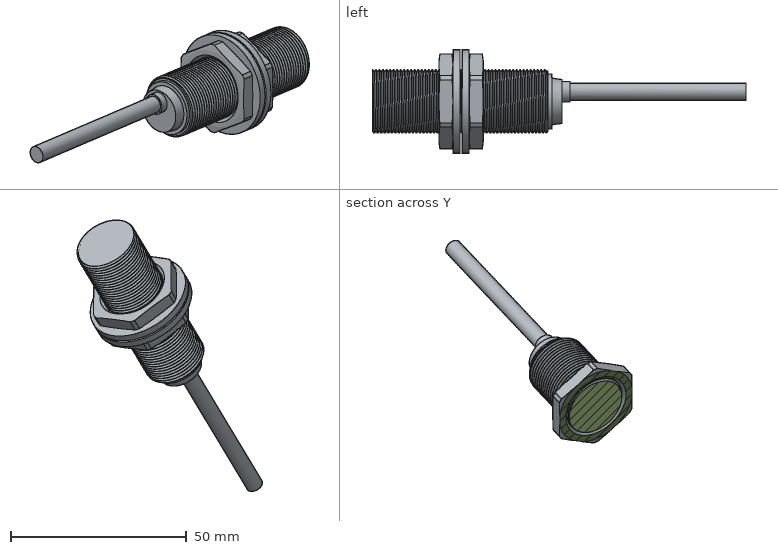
import cadquery as cq
import math

TOTAL_LENGTH = 106.3

THREAD_RADIUS = 9.0
THREAD_DEPTH = 0.5
THREAD_PITCH = 1.0
THREAD_CREST = THREAD_PITCH / 8
THREAD_LENGTH = 50.0
THREAD_END_CHAMFER = 0.5

NECK_RADIUS = 7.9
NECK_LENGTH = 1.1
CAP_BASE_RADIUS = 6.7
CAP_END_RADIUS = 6.3
CAP_LENGTH = 3.0
SLEEVE_RADIUS = 3.0
SLEEVE_LENGTH = 2.2
CABLE_RADIUS = 2.4
CABLE_OFFSET = 2.8

NUT_WIDTH = 24.0
NUT_THICKNESS = 4.0
NUT_CORNER_RADIUS = 13.5
NUT_FACE_RADIUS = 11.5
NUT_CHAMFER_ANGLE = 8.0
NUT_COUNTERSINK_RADIUS = 10.0

WASHER_RADIUS = 14.8
WASHER_THICKNESS = 2.0
WASHER_GAP = 0.5

FRONT_NUT_Y = -18.9
FRONT_WASHER_Y = FRONT_NUT_Y - NUT_THICKNESS
REAR_WASHER_Y = FRONT_WASHER_Y - WASHER_THICKNESS - WASHER_GAP
REAR_NUT_Y = REAR_WASHER_Y - WASHER_THICKNESS


def plane_at(y, z=0.0):
    """Sketch plane square to the axis, with extrusions running toward -Y."""
    return cq.Workplane("XZ", origin=(0, y, z))


def helix_edge(radius, start):
    """One turn of the thread helix about +Z, from the seam at the height `start`."""
    return cq.Wire.makeHelix(THREAD_PITCH, THREAD_PITCH, radius, cq.Vector(0, 0, start)).Edges()[0]


def end_face(start):
    """Spiral ramp from the axis out to the crest helix that begins at the height `start`."""
    axis = cq.Edge.makeLine(cq.Vector(0, 0, start), cq.Vector(0, 0, start + THREAD_PITCH))
    return cq.Face.makeRuledSurface(axis, helix_edge(THREAD_RADIUS, start))


def step_face(start, profile):
    """Flat step, one thread profile high, that joins the two ends of a spiral ramp."""
    end = start + THREAD_PITCH
    outline = [(0, start)]
    outline += [(radius, start + height) for radius, height in profile]
    outline += [(THREAD_RADIUS, end), (0, end)]
    points = [cq.Vector(x, 0, z) for x, z in outline]
    return cq.Face.makeFromWires(cq.Wire.makePolygon(points, close=True))


def make_thread():
    """Threaded rod, wound one turn at a time past both ends and then trimmed to length."""
    root_radius = THREAD_RADIUS - THREAD_DEPTH
    flank = (THREAD_PITCH - THREAD_CREST) / 2
    profile = [
        (THREAD_RADIUS, 0),
        (THREAD_RADIUS, THREAD_CREST),
        (root_radius, THREAD_CREST + flank),
    ]
    turns = math.ceil(THREAD_LENGTH / THREAD_PITCH) + 2
    bottom = -THREAD_PITCH
    top = bottom + turns * THREAD_PITCH

    edges = []
    for turn in range(turns):
        turn_start = bottom + turn * THREAD_PITCH
        edges += [helix_edge(radius, turn_start + height) for radius, height in profile]
    edges.append(helix_edge(THREAD_RADIUS, top))

    faces = [cq.Face.makeRuledSurface(low, high) for low, high in zip(edges, edges[1:])]
    for end in (bottom, top):
        faces += [end_face(end), step_face(end, profile)]
    rod = cq.Workplane(cq.Solid.makeSolid(cq.Shell.makeShell(faces)))

    margin = THREAD_DEPTH
    envelope = (
        cq.Workplane("XY")
        .circle(THREAD_RADIUS + margin)
        .extrude(THREAD_LENGTH)
        .faces(">Z")
        .chamfer(THREAD_END_CHAMFER + margin)
    )
    rod = rod.intersect(envelope)
    return rod.rotate((0, 0, 0), (0, 0, 1), 90).rotate((0, 0, 0), (1, 0, 0), 90)


def make_sensor():
    """Threaded barrel with its neck, tapered cap, cable sleeve and off-centre cable."""
    neck_end = THREAD_LENGTH + NECK_LENGTH
    cap_end = neck_end + CAP_LENGTH
    neck = plane_at(-THREAD_LENGTH).circle(NECK_RADIUS).extrude(NECK_LENGTH)
    taper = math.degrees(math.atan((CAP_BASE_RADIUS - CAP_END_RADIUS) / CAP_LENGTH))
    cap = plane_at(-neck_end).circle(CAP_BASE_RADIUS).extrude(CAP_LENGTH, taper=taper)
    sleeve = plane_at(-cap_end, CABLE_OFFSET).circle(SLEEVE_RADIUS).extrude(SLEEVE_LENGTH)
    cable = plane_at(-cap_end, CABLE_OFFSET).circle(CABLE_RADIUS).extrude(TOTAL_LENGTH - cap_end)
    return make_thread().union(neck).union(cap).union(sleeve).union(cable)


def make_nut(front_y):
    """Hex nut with corners to +Z and -Z, chamfered and countersunk on both faces."""
    corner_diameter = NUT_WIDTH / math.cos(math.radians(30))
    hexagon = (
        plane_at(front_y)
        .transformed(rotate=(0, 0, 30))
        .polygon(6, corner_diameter)
        .extrude(NUT_THICKNESS)
    )
    chamfer = (NUT_CORNER_RADIUS - NUT_FACE_RADIUS) * math.tan(math.radians(NUT_CHAMFER_ANGLE))
    countersink = NUT_COUNTERSINK_RADIUS - THREAD_RADIUS
    rear_y = front_y - NUT_THICKNESS
    turned_ring = (
        cq.Workplane("XY")
        .polyline(
            [
                (THREAD_RADIUS, front_y - countersink),
                (NUT_COUNTERSINK_RADIUS, front_y),
                (NUT_FACE_RADIUS, front_y),
                (NUT_CORNER_RADIUS, front_y - chamfer),
                (NUT_CORNER_RADIUS, rear_y + chamfer),
                (NUT_FACE_RADIUS, rear_y),
                (NUT_COUNTERSINK_RADIUS, rear_y),
                (THREAD_RADIUS, rear_y + countersink),
            ]
        )
        .close()
        .revolve(360, (0, 0, 0), (0, 1, 0))
    )
    return hexagon.intersect(turned_ring)


def make_washer(front_y):
    """Flat washer bored to the thread crests."""
    return plane_at(front_y).circle(WASHER_RADIUS).circle(THREAD_RADIUS).extrude(WASHER_THICKNESS)


sensor = make_sensor()
nuts = [make_nut(y) for y in (FRONT_NUT_Y, REAR_NUT_Y)]
washers = [make_washer(y) for y in (FRONT_WASHER_Y, REAR_WASHER_Y)]

result = cq.Compound.makeCompound([body.val() for body in [sensor, *nuts, *washers]])